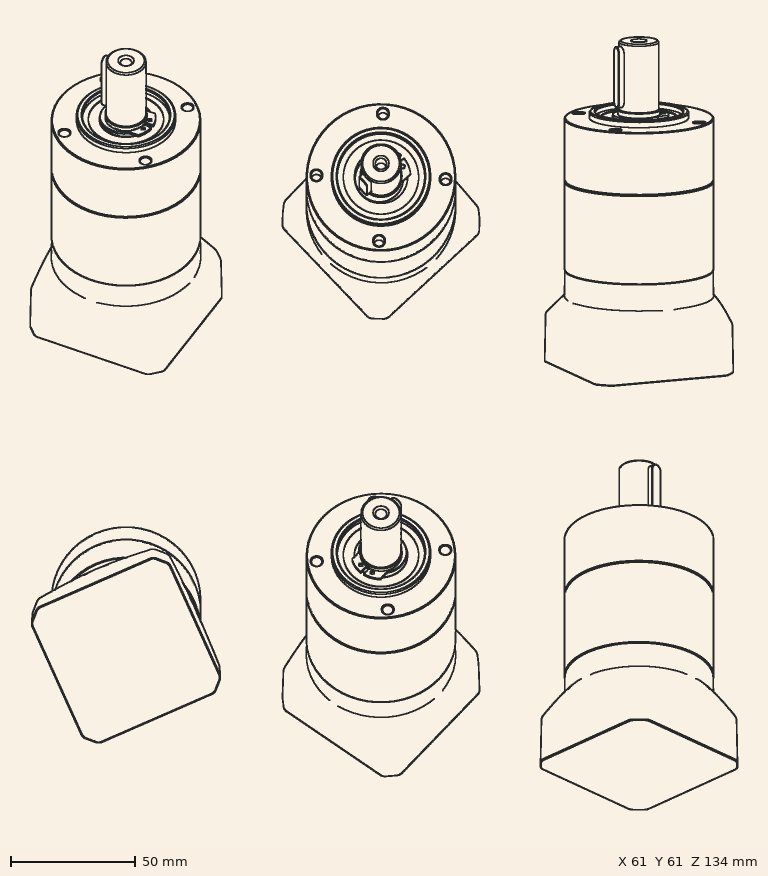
import cadquery as cq
import math

total_height = 134.0
collar_foot = 29.2
ring_bottom = 39.9
ring_top = 76.6
housing_top = 102.4
boss_top = 105.0
bearing_top = 102.9
shoulder_top = 106.0

base_width = 61.0
base_draft = 0.8
base_foot_chamfer = 0.4
base_corner_cut = 5.0
base_corner_radius = 3.2
base_rim_radius = 1.7
roof_margin = 1.3
collar_top_radius = 29.9
collar_overlap = 1.3

body_radius = 30.0
body_chamfer = 0.4
boss_radius = 20.0
boss_chamfer = 0.5
bore_chamfer = 0.4
bolt_hole_radius = 2.1
bolt_hole_countersink = 0.4
bolt_hole_depth = 10.0
bolt_offset = 18.4

bearing_radius = 17.5
bearing_height = 10.0
outer_race_inner_radius = 15.1
inner_race_outer_radius = 10.7
shield_recess = 0.4

shaft_radius = 8.0
shoulder_radius = 8.5
shaft_chamfer = 0.7
center_hole_radius = 2.3
center_hole_chamfer = 1.0
center_hole_depth = 12.0

key_width = 5.0
key_thickness = 5.0
key_length = 25.0
key_outer_face = 10.0
key_bottom = 107.2
key_chamfer = 0.3

clip_thickness = 1.0
clip_inner_radius = 7.9
clip_outer_radius = 9.6
clip_eccentricity = 1.0
lug_radius = 11.9
lug_half_width = 7.4
lug_start = 4.0
lug_gap = 1.6
lug_hole_radius = 0.8
lug_hole_x = 9.2
lug_hole_y = 3.0

draft_slope = math.tan(math.radians(base_draft))
bearing_bottom = bearing_top - bearing_height
clip_top = bearing_top + clip_thickness


def disc(radius, bottom, top):
    return cq.Workplane("XY", origin=(0, 0, bottom)).circle(radius).extrude(top - bottom)


def tube(outer_radius, inner_radius, bottom, top):
    return cq.Workplane("XY", origin=(0, 0, bottom)).circle(outer_radius).circle(inner_radius).extrude(top - bottom)


def revolved(profile):
    """Solid of revolution about Z from (radius, height) points."""
    return cq.Workplane("XZ").polyline(profile).close().revolve(360, (0, 0), (0, 1))


def make_base_block():
    """Square block that narrows upward, with rounded corner cuts; widest just above its foot chamfer."""
    foot_width = base_width + 2 * base_foot_chamfer * draft_slope
    block = cq.Workplane("XY").rect(foot_width, foot_width).extrude(collar_foot + roof_margin, taper=base_draft)
    block = block.edges("not(#Z)").chamfer(base_corner_cut)
    return block.edges("not(#Z)").fillet(base_corner_radius)


def make_base():
    """Block trimmed by a 45 degree cone that meets the flat sides at the collar foot."""
    apex_height = collar_foot + base_width / 2 - collar_foot * draft_slope
    roof_top = collar_foot + roof_margin
    roof = revolved([(0, 0), (apex_height, 0), (apex_height - roof_top, roof_top), (0, roof_top)])
    block = make_base_block().intersect(roof)
    block = block.faces("%CONE").edges("not %CIRCLE").fillet(base_rim_radius)
    block = block.faces("<Z").chamfer(base_foot_chamfer)

    collar_bottom = collar_foot - collar_overlap
    collar_bottom_radius = collar_top_radius + (ring_bottom - collar_bottom) * draft_slope
    collar = revolved([
        (0, collar_bottom),
        (collar_bottom_radius, collar_bottom),
        (collar_top_radius, ring_bottom),
        (0, ring_bottom),
    ])
    return block.union(collar)


def make_ring_case():
    return disc(body_radius, ring_bottom, ring_top).edges("%CIRCLE").chamfer(body_chamfer)


def make_bolt_hole():
    """Countersunk blind hole with a 90 degree drill point."""
    straight_bottom = housing_top - bolt_hole_depth
    return revolved([
        (0, housing_top),
        (bolt_hole_radius + bolt_hole_countersink, housing_top),
        (bolt_hole_radius, housing_top - bolt_hole_countersink),
        (bolt_hole_radius, straight_bottom),
        (0, straight_bottom - bolt_hole_radius),
    ])


def make_housing():
    """Output housing with a centring boss, a bearing seat and four screw holes."""
    housing = disc(body_radius, ring_top, housing_top).edges("%CIRCLE").chamfer(body_chamfer)
    boss = disc(boss_radius, housing_top, boss_top).faces(">Z").chamfer(boss_chamfer)
    bearing_seat = revolved([
        (0, bearing_bottom),
        (bearing_radius, bearing_bottom),
        (bearing_radius, boss_top - bore_chamfer),
        (bearing_radius + bore_chamfer, boss_top),
        (0, boss_top),
    ])
    housing = housing.union(boss).cut(bearing_seat)
    for x in (-bolt_offset, bolt_offset):
        for y in (-bolt_offset, bolt_offset):
            housing = housing.cut(make_bolt_hole().translate((x, y, 0)))
    return housing


def make_outer_race():
    return tube(bearing_radius, outer_race_inner_radius, bearing_bottom, bearing_top)


def make_inner_race():
    return tube(inner_race_outer_radius, shoulder_radius, bearing_bottom, bearing_top)


def make_shield():
    """Filler between the races, slightly recessed at the top."""
    return tube(outer_race_inner_radius, inner_race_outer_radius, bearing_bottom, bearing_top - shield_recess)


def make_key_blank():
    """Round-ended bar standing on the -X side of the shaft."""
    center_z = key_bottom + key_length / 2
    return (
        cq.Workplane("YZ", origin=(-key_outer_face, 0, center_z))
        .slot2D(key_length, key_width, 90)
        .extrude(key_thickness)
    )


def make_key():
    return make_key_blank().faces("<X").chamfer(key_chamfer)


def make_shaft():
    """Stepped shaft with a centre hole, a retaining ring groove and a keyway."""
    shoulder_chamfer = shoulder_radius - shaft_radius
    shaft = revolved([
        (0, bearing_bottom),
        (shoulder_radius, bearing_bottom),
        (shoulder_radius, bearing_top),
        (clip_inner_radius, bearing_top),
        (clip_inner_radius, clip_top),
        (shoulder_radius, clip_top),
        (shoulder_radius, shoulder_top - shoulder_chamfer),
        (shaft_radius, shoulder_top),
        (shaft_radius, total_height - shaft_chamfer),
        (shaft_radius - shaft_chamfer, total_height),
        (center_hole_radius + center_hole_chamfer, total_height),
        (center_hole_radius, total_height - center_hole_chamfer),
        (center_hole_radius, total_height - center_hole_depth),
        (0, total_height - center_hole_depth),
    ])
    return shaft.cut(make_key_blank())


def make_clip():
    """Eccentric open retaining ring with two drilled lugs beside its gap on the +X side."""
    sketch_plane = cq.Workplane("XY", origin=(0, 0, bearing_top))
    ring = disc(clip_outer_radius, bearing_top, clip_top).translate((-clip_eccentricity, 0, 0))
    lug_length = lug_radius - lug_start
    lug_band = (
        sketch_plane.center(lug_start + lug_length / 2, 0)
        .rect(lug_length, 2 * lug_half_width)
        .extrude(clip_thickness)
    )
    lugs = disc(lug_radius, bearing_top, clip_top).intersect(lug_band)
    gap = sketch_plane.center(lug_radius / 2, 0).rect(lug_radius, lug_gap).extrude(clip_thickness)
    holes = (
        sketch_plane.pushPoints([(lug_hole_x, -lug_hole_y), (lug_hole_x, lug_hole_y)])
        .circle(lug_hole_radius)
        .extrude(clip_thickness)
    )
    bore = disc(clip_inner_radius, bearing_top, clip_top)
    return ring.union(lugs).cut(bore).cut(gap).cut(holes)


base = make_base()
ring_case = make_ring_case()
housing = make_housing()
outer_race = make_outer_race()
inner_race = make_inner_race()
shield = make_shield()
shaft = make_shaft()
key = make_key()
clip = make_clip()

result = cq.Compound.makeCompound([
    base.val(),
    ring_case.val(),
    housing.val(),
    outer_race.val(),
    inner_race.val(),
    shield.val(),
    shaft.val(),
    key.val(),
    clip.val(),
])